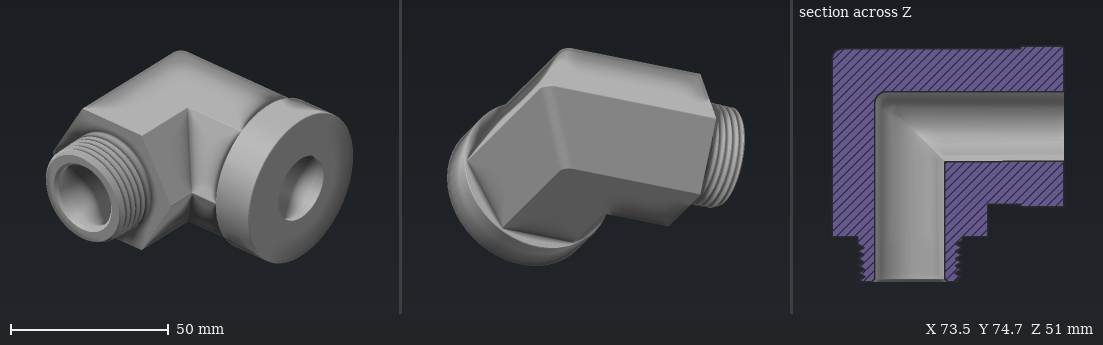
import cadquery as cq
import math


HEX_ACROSS_FLATS = 42.87
HEX_ACROSS_CORNERS = HEX_ACROSS_FLATS / math.cos(math.pi / 6)
HEX_EDGE_RADIUS = 0.5
ARM_LENGTH = 35.0
BACK_CORNER_RADIUS = 4.0

COLLAR_DIAMETER = 51.0
COLLAR_END = 48.82
COLLAR_EDGE_CHAMFER = 0.2

SPIGOT_END = 49.2
SPIGOT_LENGTH = SPIGOT_END - ARM_LENGTH
SPIGOT_RADIUS = 33.25 / 2
THREAD_PITCH = 2.309
THREAD_DEPTH = 1.9
THREAD_CREST_WIDTH = 0.2
THREAD_TAPER = math.degrees(math.atan(1 / 32))
GROOVE_START = 1.9
GROOVE_START_ANGLE = -45
SPIGOT_END_RADIUS = 15.3

BORE_DIAMETER = 22.0
BORE_MOUTH_DIAMETER = 24.0
BORE_CORNER_RADIUS = 3.5
ROUNDED_BEND_FRACTION = 0.95

OVERLAP = 0.2
TOLERANCE = 0.001


def along_male_arm(shape):
    """Turn a shape built along +Z so that it points along -Y."""
    return shape.rotate((0, 0, 0), (1, 0, 0), 90)


def along_female_arm(shape):
    """Turn a shape built along +Z so that it points along +X."""
    return along_male_arm(shape).rotate((0, 0, 0), (0, 0, 1), 90)


def mitre_side():
    """Half space on the male side of the 45 degree mitre plane through the Z axis."""
    size = 4 * ARM_LENGTH
    corners = [(-size, size), (size, -size), (-size, -size)]
    return cq.Workplane("XY").polyline(corners).close().extrude(size, both=True)


def mitred_elbow(male, female):
    """Join two crossing arms along the mitre plane."""
    return male.intersect(mitre_side()).union(female.cut(mitre_side()))


def on_mitre(edge):
    centre = edge.Center()
    return abs(centre.x + centre.y) < TOLERANCE


def is_eased(edge):
    """True for edges that are not on the flat end of an arm."""
    centre = edge.Center()
    return max(centre.x, -centre.y) < ARM_LENGTH - TOLERANCE


def hex_arm():
    arm = cq.Workplane("XY").workplane(offset=-ARM_LENGTH)
    return arm.polygon(6, HEX_ACROSS_CORNERS).extrude(2 * ARM_LENGTH)


def body():
    """Mitred hexagonal elbow with a rounded back corner and eased long edges."""
    elbow = mitred_elbow(along_male_arm(hex_arm()), along_female_arm(hex_arm()))
    back_edges = [e for e in elbow.edges().vals() if on_mitre(e) and e.Center().x < 0]
    elbow = elbow.newObject(back_edges).fillet(BACK_CORNER_RADIUS)
    inner_edges = [e for e in elbow.edges().vals() if on_mitre(e) and e.Center().x > 0]
    long_edges = [e for e in elbow.edges("|X or |Y").vals() if is_eased(e)]
    return elbow.newObject(inner_edges + long_edges).fillet(HEX_EDGE_RADIUS)


def collar():
    disc = cq.Workplane("XY").workplane(offset=ARM_LENGTH).circle(COLLAR_DIAMETER / 2)
    disc = disc.extrude(COLLAR_END - ARM_LENGTH).edges().chamfer(COLLAR_EDGE_CHAMFER)
    return along_female_arm(disc)


def thread_groove():
    """V groove on a narrowing helix that runs out past the end of the spigot."""
    height = SPIGOT_LENGTH - GROOVE_START + THREAD_PITCH
    path = cq.Wire.makeHelix(THREAD_PITCH, height, SPIGOT_RADIUS, angle=-THREAD_TAPER)
    half_width = (THREAD_PITCH - THREAD_CREST_WIDTH) / 2
    outer_half_width = half_width * (1 + OVERLAP / THREAD_DEPTH)
    profile = [
        (SPIGOT_RADIUS - THREAD_DEPTH, 0),
        (SPIGOT_RADIUS + OVERLAP, outer_half_width),
        (SPIGOT_RADIUS + OVERLAP, -outer_half_width),
    ]
    groove = cq.Workplane("XZ").polyline(profile).close().sweep(cq.Workplane(path), isFrenet=True)
    groove = groove.rotate((0, 0, 0), (0, 0, 1), GROOVE_START_ANGLE)
    return groove.translate((0, 0, GROOVE_START))


def chamfer_envelope():
    """Cylinder around the spigot whose far edge is chamfered at 45 degrees."""
    radius = SPIGOT_RADIUS + OVERLAP
    envelope = cq.Workplane("XY").circle(radius).extrude(SPIGOT_LENGTH)
    return envelope.faces(">Z").chamfer(radius - SPIGOT_END_RADIUS)


def spigot():
    """Threaded spigot: a plain neck, then a taper down to the chamfered open end."""
    taper_length = SPIGOT_LENGTH - GROOVE_START
    end_radius = SPIGOT_RADIUS - taper_length * math.tan(math.radians(THREAD_TAPER))
    outline = [
        (0, 0),
        (SPIGOT_RADIUS, 0),
        (SPIGOT_RADIUS, GROOVE_START),
        (end_radius, SPIGOT_LENGTH),
        (0, SPIGOT_LENGTH),
    ]
    blank = cq.Workplane("XZ").polyline(outline).close().revolve(360, (0, 0), (0, 1))
    threaded = blank.cut(thread_groove()).intersect(chamfer_envelope())
    return along_male_arm(threaded.translate((0, 0, ARM_LENGTH)))


def sharp_bore():
    rod = cq.Workplane("XY").circle(BORE_DIAMETER / 2).extrude(2 * COLLAR_END, both=True)
    return mitred_elbow(along_male_arm(rod), along_female_arm(rod))


def bore():
    """Elbow waterway with the outside of its bend rounded.

    The bend edge fades out tangentially at the top and bottom of the bore, so the
    rounding is made on a slab that stops just short of those two points.
    """
    waterway = sharp_bore()
    slab_height = BORE_DIAMETER * ROUNDED_BEND_FRACTION
    slab = waterway.intersect(cq.Workplane("XY").box(4 * COLLAR_END, 4 * COLLAR_END, slab_height))
    bend_edges = [e for e in slab.edges("%ELLIPSE").vals() if on_mitre(e) and e.Center().x < 0]
    rounded = slab.newObject(bend_edges).fillet(BORE_CORNER_RADIUS)
    return waterway.cut(slab.cut(rounded))


def mouth_countersink():
    """45 degree lead-in at the open end of the spigot."""
    depth = (BORE_MOUTH_DIAMETER - BORE_DIAMETER) / 2
    cone = cq.Solid.makeCone(BORE_DIAMETER / 2, BORE_MOUTH_DIAMETER / 2, depth)
    return along_male_arm(cq.Workplane(cone.translate(cq.Vector(0, 0, SPIGOT_END - depth))))


outside = body().union(collar()).union(spigot())
result = outside.cut(bore()).cut(mouth_countersink())